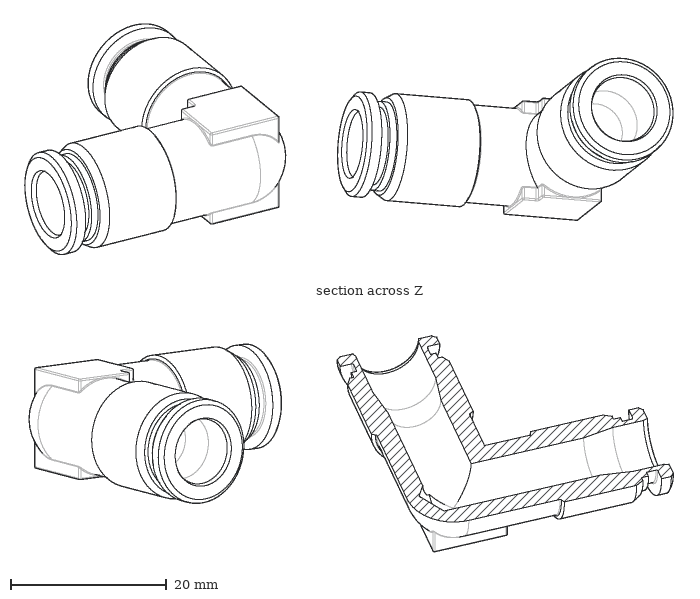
import cadquery as cq
import math

OVERALL = 34.6
BODY_RADIUS = 6.903
ARM_LENGTH = OVERALL - BODY_RADIUS
OPEN_END = -ARM_LENGTH

TUBE_RADIUS = 6.3

BODY_START = 4.15
BODY_LEAD_LENGTH = 1.07
BODY_LEAD_HEIGHT = 0.62
BODY_END = 14.98
BODY_BEVEL_LENGTH = 0.25
BODY_BLEND_RADIUS = 0.15

FLANGE_RADIUS = 6.75
FLANGE_LENGTH = 1.8
FLANGE_BEVEL_LENGTH = 0.5
FLANGE_BEVEL_HEIGHT = 0.6
NECK_RADIUS = 5.0
NECK_BLEND_RADIUS = 0.17
RING_RADIUS = 5.75
RING_START = 3.22

MOUTH_RADIUS = 4.43
MOUTH_BEVEL_LENGTH = 0.62
SOCKET_RADIUS = 4.22
SOCKET_DEPTH_X = 4.77
SOCKET_DEPTH_Y = 7.6
TAPER_LENGTH = 4.15
PASSAGE_RADIUS = 3.55
DRILL_OVERSHOOT = 2.45
DRILL_TIP_ANGLE = 118.0
DRILL_TIP_LENGTH = PASSAGE_RADIUS / math.tan(math.radians(DRILL_TIP_ANGLE / 2))

PAD_INNER = 6.02
PAD_OUTER = 4.05
PAD_NOTCH = 3.98
PAD_TOP = 6.57
PAD_CORNER_ROUND = 0.25
PAD_TOP_ROUND = 0.2
PAD_BASE_ROUND = 0.15
SEAM_MARGIN = 0.05


def spin_about_x(outline):
    """Revolve a closed (position along X, radius) outline about the X axis."""
    return outline.close().revolve(360, (0, 0, 0), (1, 0, 0))


def swing_to_y(shape):
    """Turn a shape lying along -X so that it lies along -Y."""
    return shape.rotate((0, 0, 0), (0, 0, 1), 90)


def make_tube():
    """Plain tube stock from the body to the elbow centre."""
    return (
        cq.Workplane("YZ")
        .workplane(offset=OPEN_END + BODY_END)
        .circle(TUBE_RADIUS)
        .extrude(ARM_LENGTH - BODY_END)
    )


def make_socket():
    """Collet and socket body lying along -X, ending in a blend onto the tube."""
    flange_back = OPEN_END + FLANGE_LENGTH
    ring_start = OPEN_END + RING_START
    body_start = OPEN_END + BODY_START
    body_end = OPEN_END + BODY_END
    bevel_end = body_end + BODY_BEVEL_LENGTH
    outline = (
        cq.Workplane("XY")
        .moveTo(OPEN_END, 0)
        .lineTo(OPEN_END, FLANGE_RADIUS - FLANGE_BEVEL_HEIGHT)
        .lineTo(OPEN_END + FLANGE_BEVEL_LENGTH, FLANGE_RADIUS)
        .lineTo(flange_back, FLANGE_RADIUS)
        .lineTo(flange_back, NECK_RADIUS + NECK_BLEND_RADIUS)
        .radiusArc((flange_back + NECK_BLEND_RADIUS, NECK_RADIUS), -NECK_BLEND_RADIUS)
        .lineTo(ring_start, NECK_RADIUS)
        .lineTo(ring_start, RING_RADIUS)
        .lineTo(body_start, RING_RADIUS)
        .lineTo(body_start, BODY_RADIUS - BODY_LEAD_HEIGHT)
        .lineTo(body_start + BODY_LEAD_LENGTH, BODY_RADIUS)
        .lineTo(body_end, BODY_RADIUS)
        .lineTo(bevel_end, TUBE_RADIUS + BODY_BLEND_RADIUS)
        .radiusArc((bevel_end + BODY_BLEND_RADIUS, TUBE_RADIUS), -BODY_BLEND_RADIUS)
        .lineTo(bevel_end + BODY_BLEND_RADIUS, 0)
    )
    return spin_about_x(outline)


def make_bore(socket_depth, overshoot, tip_length):
    """Bore along -X, reaching `overshoot` past the elbow centre, then a conical tip."""
    outline = (
        cq.Workplane("XY")
        .moveTo(OPEN_END, 0)
        .lineTo(OPEN_END, MOUTH_RADIUS)
        .lineTo(OPEN_END + MOUTH_BEVEL_LENGTH, SOCKET_RADIUS)
        .lineTo(OPEN_END + socket_depth, SOCKET_RADIUS)
        .lineTo(OPEN_END + socket_depth + TAPER_LENGTH, PASSAGE_RADIUS)
        .lineTo(overshoot, PASSAGE_RADIUS)
        .lineTo(overshoot + tip_length, 0)
    )
    return spin_about_x(outline)


def make_pad():
    """Upper label pad with rounded corners, reaching down to the middle plane."""
    corners = [
        (-PAD_INNER, PAD_OUTER),
        (PAD_OUTER, PAD_OUTER),
        (PAD_OUTER, -PAD_INNER),
        (-PAD_NOTCH, -PAD_INNER),
        (-PAD_NOTCH, -PAD_NOTCH),
        (-PAD_INNER, -PAD_NOTCH),
    ]
    pad = cq.Workplane("XY").polyline(corners).close().extrude(PAD_TOP)
    pad = pad.edges("|Z").fillet(PAD_CORNER_ROUND)
    return pad.faces(">Z").edges().fillet(PAD_TOP_ROUND)


def blend_pad_base(elbow):
    """Round the seam where the upper pad rises out of the tubes."""
    low = -PAD_INNER - SEAM_MARGIN
    high = PAD_OUTER + SEAM_MARGIN
    seam_zone = cq.selectors.BoxSelector(
        (low, low, SEAM_MARGIN),
        (high, high, PAD_TOP - PAD_TOP_ROUND - SEAM_MARGIN),
        boundingbox=True,
    )
    return elbow.edges(seam_zone).fillet(PAD_BASE_ROUND)


tube = make_tube()
elbow = cq.Workplane("XY").sphere(TUBE_RADIUS).union(tube).union(swing_to_y(tube))

padded = blend_pad_base(elbow.union(make_pad()))
upper_space = cq.Workplane("XY").rect(2 * OVERALL, 2 * OVERALL).extrude(OVERALL)
upper_half = padded.intersect(upper_space)
elbow = upper_half.union(upper_half.mirror("XY"))

socket = make_socket()
elbow = elbow.union(socket).union(swing_to_y(socket))

bore_x = make_bore(SOCKET_DEPTH_X, DRILL_OVERSHOOT, DRILL_TIP_LENGTH)
bore_y = swing_to_y(make_bore(SOCKET_DEPTH_Y, 0, 0))
result = elbow.cut(bore_x).cut(bore_y)